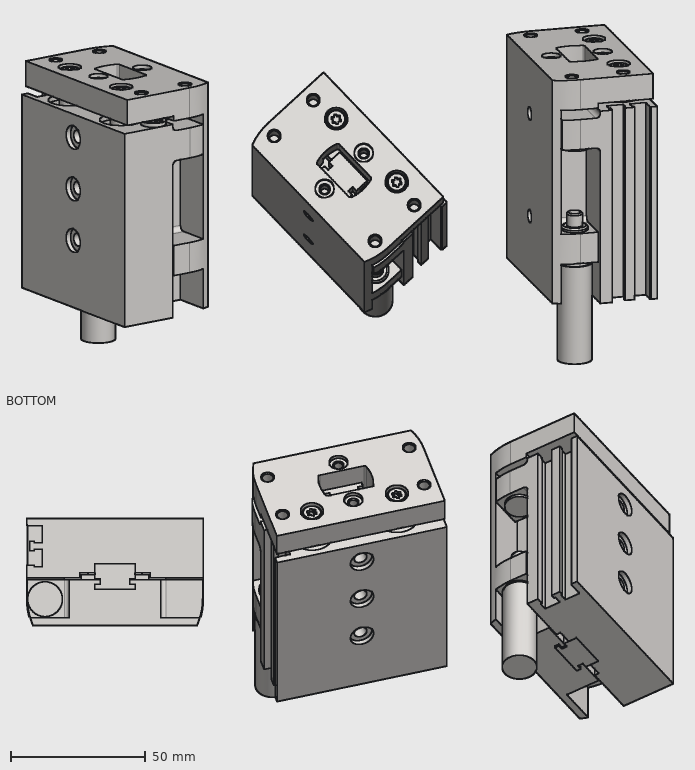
import cadquery as cq
import math


housing_width = 66.0
housing_height = 75.0
housing_depth = 22.1

slide_width = 65.3
slide_front = 1.5
slide_back = 40.0
slide_bottom = 0.8
slide_top = 87.8
slide_step = 22.85
plate_bottom = 78.0
back_wall = 3.0

flank_start = 29.9
flank_drop = 2.05

rail_width = 15.0
rail_front = 16.8
rail_back = 26.4
rail_top = housing_height + 5.0
rail_groove_depth = 2.0
rail_groove_front = 22.4
rail_groove_back = 24.6
carriage_half_width = 12.5
carriage_front = 20.9
carriage_bottom = 8.2
carriage_clearance = 0.6

web_half_width = 17.0
pocket_top = 76.15
bracket_top = 27.8
bracket_bottom = 16.15
pocket_fillet = 2.0
wing_inner = 19.0
wing_back = 36.6
wing_top = 72.4
wing_bottom = 60.75
wing_fillet = 1.8

rod_offset = 16.5
rod_y = 10.2
rod_diameter = 8.0
bore_diameter = 16.0
bore_recess = 2.0
rod_length_in_housing = 10.0
screw_head_diameter = 7.3
screw_head_chamfer = 0.4
screw_head_height = 4.0
screw_head_sink = 0.7
screw_shank_diameter = 5.0
screw_pocket_diameter = 8.5
star_depth = 1.5
star_core_diameter = 2.5
star_lobe_diameter = 1.0
star_lobe_radius = 1.4
star_lobes = 6

damper_x = -26.1
damper_y = 30.1
damper_diameter = 13.0
damper_bottom = -23.05
damper_top = 14.8
damper_neck_diameter = 11.7
damper_thread_diameter = 10.0
damper_thread_top = 29.3
damper_thread_chamfer = 0.7
damper_pin_diameter = 6.0
damper_pin_top = 34.4
damper_pin_chamfer = 0.6
stop_pad_diameter = 11.0
stop_pad_height = 1.1

mount_hole_diameter = 4.92
mount_seat_diameter = 9.0
mount_seat_depth = 2.0
mount_pitch = 20.0
mount_middle_z = 46.0

slot_mouths = [(2.75, 8.4), (12.1, 17.4)]
slot_floor = 5.9
slot_lip = 2.9
slot_undercut = 0.6
middle_rib_setback = 1.2
flange_chamfer = 0.4

plug_x = 28.1
plug_y = 16.7
plug_diameter = 9.5
plug_height = 1.5
plug_cap_diameter = 7.0
plug_cap_height = 0.7

plate_hole_pitch = 20.0
plate_hole_front = 11.6
corner_hole_x = 27.5
corner_hole_diameter = 4.13
corner_hole_mouth = 5.0
center_seat_diameter = 7.0
center_seat_depth = 1.5
center_hole_diameter = 3.24
center_hole_mouth = 4.13
plate_hole_depth = 8.0

window_front = 16.1
window_back = 27.2
window_end_half_width = 9.1
window_middle_half_width = 10.1
window_corner_radius = 0.8

overcut = 1.0
half_housing = housing_width / 2
half_slide = slide_width / 2
pocket_back = slide_back - back_wall


def box(x_range, y_range, z_range):
    """Axis-aligned block given by its limits."""
    sizes = [high - low for low, high in (x_range, y_range, z_range)]
    corner = (x_range[0], y_range[0], z_range[0])
    return cq.Workplane("XY").box(*sizes, centered=False).translate(corner)


def cylinder(x, y, diameter, z_low, z_high):
    """Upright cylinder between two heights."""
    disc = cq.Workplane("XY", origin=(x, y, z_low)).circle(diameter / 2)
    return disc.extrude(z_high - z_low)


def curved_block(half_width, y_front, z_low, z_high):
    """Full-depth block whose flanks run straight, then curve inwards to the back."""
    run = slide_back - flank_start
    radius = (run ** 2 + flank_drop ** 2) / (2 * flank_drop)
    mid_angle = math.asin(run / radius) / 2
    mid_x = half_width - radius * (1 - math.cos(mid_angle))
    mid_y = flank_start + radius * math.sin(mid_angle)
    back_x = half_width - flank_drop
    outline = (
        cq.Workplane("XY", origin=(0, 0, z_low))
        .moveTo(-half_width, y_front)
        .lineTo(half_width, y_front)
        .lineTo(half_width, flank_start)
        .threePointArc((mid_x, mid_y), (back_x, slide_back))
        .lineTo(-back_x, slide_back)
        .threePointArc((-mid_x, mid_y), (-half_width, flank_start))
        .close()
    )
    return outline.extrude(z_high - z_low)


def countersunk_drill(x, y, z_top, diameter, mouth, depth):
    """Cutter for a blind hole with a 45 degree chamfer at its mouth."""
    lead = (mouth - diameter) / 2
    hole = cylinder(x, y, diameter, z_top - depth, z_top)
    cone = cq.Solid.makeCone(diameter / 2, mouth / 2, lead, pnt=cq.Vector(x, y, z_top - lead))
    return hole.union(cq.Workplane(cone))


def rail_profile(z_low, z_high):
    """Rail section with a running groove in each side."""
    half = rail_width / 2
    body = box((-half, half), (rail_front, rail_back), (z_low, z_high))
    for x_low in (-half, half - rail_groove_depth):
        body = body.cut(box((x_low, x_low + rail_groove_depth),
                            (rail_groove_front, rail_groove_back), (z_low, z_high)))
    return body


def mount_drills():
    """Through holes at the top and bottom of the mounting row."""
    drills = cq.Workplane("XY")
    for side in (-1, 1):
        z = mount_middle_z + side * mount_pitch
        drill = cq.Workplane("XZ", origin=(0, 0, z)).circle(mount_hole_diameter / 2)
        drills = drills.union(drill.extrude(-slide_back))
    return drills


def make_rail():
    return rail_profile(0, rail_top).cut(mount_drills())


def side_slots():
    """Undercut slots that open to the left side, with the rib between them set back."""
    face = -half_housing
    cutters = cq.Workplane("XY")
    z_range = (0, housing_height)
    for front, back in slot_mouths:
        mouth = box((face, face + slot_floor), (front, back), z_range)
        cutters = cutters.union(mouth)
    first, second = slot_mouths
    undercut_x = (face + slot_lip, face + slot_floor)
    cutters = cutters.union(box(undercut_x, (first[0], first[1] + slot_undercut), z_range))
    cutters = cutters.union(
        box(undercut_x, (second[0] - slot_undercut, second[1] + slot_undercut), z_range))
    rib = box((face, face + middle_rib_setback), (first[1], second[0]), z_range)
    return cutters.union(rib)


def stop_wing():
    """Left wing behind the housing, blended into the rear face by concave fillets."""
    wing = curved_block(half_housing, 0, wing_bottom - wing_fillet, wing_top + wing_fillet)
    wing = wing.intersect(box((-half_housing, -wing_inner), (housing_depth, wing_back),
                              (0, slide_top)))
    for edge, side in ((wing_top, 1), (wing_bottom, -1)):
        z_far = edge + side * wing_fillet
        relief = box((-half_housing, -wing_inner), (housing_depth, wing_back),
                     (min(edge, z_far), max(edge, z_far)))
        foot = box((-half_housing, -wing_inner),
                   (housing_depth, housing_depth + wing_fillet),
                   (min(edge, z_far), max(edge, z_far)))
        hollow = (
            cq.Workplane("YZ", origin=(-half_housing, 0, 0))
            .center(housing_depth + wing_fillet, z_far)
            .circle(wing_fillet)
            .extrude(half_housing)
        )
        wing = wing.cut(relief.cut(foot.cut(hollow)))
    return wing


def make_housing():
    body = box((-half_housing, half_housing), (0, housing_depth), (0, housing_height))
    body = body.cut(side_slots())
    flange_edge = cq.selectors.NearestToPointSelector(
        (-half_housing, slot_mouths[0][0], housing_height / 2))
    body = body.edges(flange_edge).chamfer(flange_chamfer)

    relief_half = carriage_half_width + carriage_clearance
    body = body.cut(box((-relief_half, relief_half),
                        (carriage_front - carriage_clearance, housing_depth),
                        (0, housing_height)))
    body = body.cut(rail_profile(0, housing_height))

    wing = stop_wing()
    body = body.union(wing).union(wing.mirror("YZ"))
    body = body.union(cylinder(damper_x, damper_y, stop_pad_diameter,
                               wing_bottom - stop_pad_height, wing_bottom))

    for side in (-1, 1):
        x = side * rod_offset
        body = body.cut(cylinder(x, rod_y, bore_diameter,
                                 housing_height - bore_recess, housing_height))
        body = body.cut(cylinder(x, rod_y, rod_diameter,
                                 housing_height - rod_length_in_housing, housing_height))

    body = body.cut(mount_drills())
    middle = cq.Workplane("XZ", origin=(0, 0, mount_middle_z)).circle(mount_hole_diameter / 2)
    body = body.cut(middle.extrude(-rail_front))
    for step in (-1, 0, 1):
        z = mount_middle_z + step * mount_pitch
        seat = cq.Workplane("XZ", origin=(0, 0, z)).circle(mount_seat_diameter / 2)
        body = body.cut(seat.extrude(-mount_seat_depth))

    plug_top = housing_height + plug_height
    body = body.union(cylinder(plug_x, plug_y, plug_diameter, housing_height, plug_top))
    return body.union(cylinder(plug_x, plug_y, plug_cap_diameter,
                               plug_top, plug_top + plug_cap_height))


def side_pockets():
    """Left pockets above and below the damper bracket, rounded along the web."""
    x_range = (-half_housing - overcut, -web_half_width)
    y_range = (slide_step - overcut, pocket_back)
    upper = box(x_range, y_range, (bracket_top, pocket_top))
    upper = upper.edges("|Y and >X").fillet(pocket_fillet)
    lower = box(x_range, y_range, (slide_bottom - overcut, bracket_bottom))
    lower = lower.edges("|Y and >X and >Z").fillet(pocket_fillet)
    return upper.union(lower)


def window():
    """Opening in the end plate with bowed ends, above the carriage."""
    middle_y = (window_front + window_back) / 2
    outline = (
        cq.Workplane("XY", origin=(0, 0, wing_top))
        .moveTo(-window_end_half_width, window_front)
        .lineTo(window_end_half_width, window_front)
        .threePointArc((window_middle_half_width, middle_y),
                       (window_end_half_width, window_back))
        .lineTo(-window_end_half_width, window_back)
        .threePointArc((-window_middle_half_width, middle_y),
                       (-window_end_half_width, window_front))
        .close()
    )
    return outline.extrude(slide_top - wing_top).edges("|Z").fillet(window_corner_radius)


def plate_drills():
    """Threaded holes in the top of the end plate."""
    drills = cq.Workplane("XY")
    for y in (plate_hole_front, plate_hole_front + plate_hole_pitch):
        for side in (-1, 1):
            drills = drills.union(countersunk_drill(
                side * corner_hole_x, y, slide_top,
                corner_hole_diameter, corner_hole_mouth, plate_hole_depth))
        seat_floor = slide_top - center_seat_depth
        drills = drills.union(cylinder(0, y, center_seat_diameter, seat_floor, slide_top))
        drills = drills.union(countersunk_drill(
            0, y, seat_floor, center_hole_diameter, center_hole_mouth,
            plate_hole_depth - center_seat_depth))
    return drills


def make_slide():
    body = curved_block(half_slide, slide_front, slide_bottom, slide_top)
    body = body.cut(box((-half_housing, half_housing), (0, slide_step), (0, plate_bottom)))
    body = body.union(box((-carriage_half_width, carriage_half_width),
                          (carriage_front, slide_step), (carriage_bottom, wing_top)))
    pockets = side_pockets()
    body = body.cut(pockets).cut(pockets.mirror("YZ"))
    body = body.cut(rail_profile(0, wing_top)).cut(window())
    body = body.cut(plate_drills()).cut(mount_drills())

    pocket_floor = slide_top - screw_head_sink - screw_head_height
    for side in (-1, 1):
        x = side * rod_offset
        body = body.cut(cylinder(x, rod_y, screw_pocket_diameter, pocket_floor, slide_top))
        body = body.cut(cylinder(x, rod_y, screw_shank_diameter, plate_bottom, slide_top))

    return body.cut(cylinder(damper_x, damper_y, damper_thread_diameter,
                             bracket_bottom, bracket_top))


def star_socket(x, z_top):
    """Six-lobed drive recess."""
    z_low = z_top - star_depth
    socket = cylinder(x, rod_y, star_core_diameter, z_low, z_top)
    for lobe in range(star_lobes):
        angle = math.radians(90 + lobe * 360 / star_lobes)
        lobe_x = x + star_lobe_radius * math.cos(angle)
        lobe_y = rod_y + star_lobe_radius * math.sin(angle)
        socket = socket.union(cylinder(lobe_x, lobe_y, star_lobe_diameter, z_low, z_top))
    return socket


def make_piston_rod(side):
    x = side * rod_offset
    head_top = slide_top - screw_head_sink
    head_bottom = head_top - screw_head_height
    rod = cylinder(x, rod_y, rod_diameter,
                   housing_height - rod_length_in_housing, plate_bottom)
    rod = rod.union(cylinder(x, rod_y, screw_shank_diameter, plate_bottom, head_bottom))
    head = cylinder(x, rod_y, screw_head_diameter, head_bottom, head_top)
    rod = rod.union(head.faces(">Z").chamfer(screw_head_chamfer))
    return rod.cut(star_socket(x, head_top))


def make_damper():
    body = cylinder(damper_x, damper_y, damper_diameter, damper_bottom, damper_top)
    neck = cylinder(damper_x, damper_y, damper_neck_diameter, damper_top, bracket_bottom)
    thread = cylinder(damper_x, damper_y, damper_thread_diameter,
                      bracket_bottom, damper_thread_top)
    thread = thread.faces(">Z").chamfer(damper_thread_chamfer)
    pin = cylinder(damper_x, damper_y, damper_pin_diameter, damper_thread_top, damper_pin_top)
    pin = pin.faces(">Z").chamfer(damper_pin_chamfer)
    return body.union(neck).union(thread).union(pin)


housing = make_housing()
slide = make_slide()
rail = make_rail()
damper = make_damper()
piston_rods = [make_piston_rod(side) for side in (-1, 1)]

result = cq.Compound.makeCompound([
    housing.val(),
    slide.val(),
    rail.val(),
    damper.val(),
    *[rod.val() for rod in piston_rods],
])